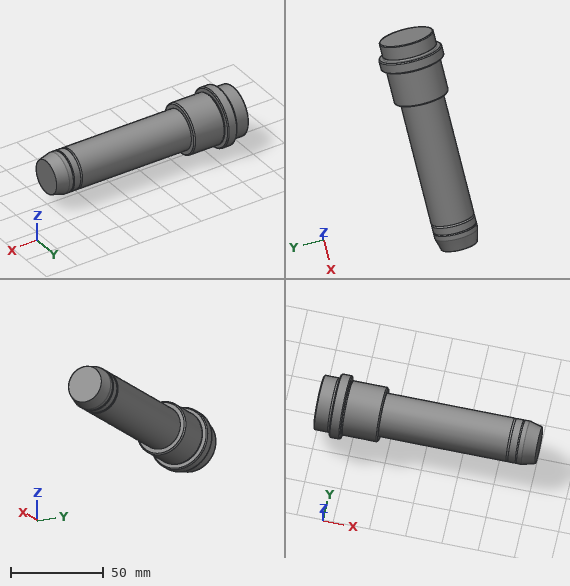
import cadquery as cq
import math

total_length = 121.0

head_radius = 30.0 / 2
head_chamfer = 0.5
shoulder_end = 35.2
shoulder_chamfer = 0.7

collar_radius = 35.0 / 2
collar_start = 9.0
collar_width = 6.0
collar_end = collar_start + collar_width
collar_chamfer = 0.6

relief_depth = 0.6
relief_radius = head_radius - relief_depth
front_relief_width = 1.2
front_relief_start = collar_start - front_relief_width
rear_relief_width = 0.7
rear_relief_end = collar_end + rear_relief_width

shaft_radius = 24.0 / 2
ring_groove_depth = 0.42
ring_grooves = [(105.5, 1.1), (110.6, 0.7)]

taper_length = 7.0
taper_angle = 15.0
tip_radius = shaft_radius - taper_length * math.tan(math.radians(taper_angle))


def make_body():
    """Revolve the half profile of the pin, without its rounded grooves, about X."""
    profile = [
        (0, 0),
        (0, head_radius - head_chamfer),
        (head_chamfer, head_radius),
        (collar_start, head_radius),
        (collar_start, collar_radius - collar_chamfer),
        (collar_start + collar_chamfer, collar_radius),
        (collar_end - collar_chamfer, collar_radius),
        (collar_end, collar_radius - collar_chamfer),
        (collar_end, relief_radius),
        (rear_relief_end, relief_radius),
        (rear_relief_end, head_radius),
        (shoulder_end - shoulder_chamfer, head_radius),
        (shoulder_end, head_radius - shoulder_chamfer),
        (shoulder_end, shaft_radius),
        (total_length - taper_length, shaft_radius),
        (total_length, tip_radius),
        (total_length, 0),
    ]
    half_section = cq.Workplane("XY").polyline(profile).close()
    return half_section.revolve(360, (0, 0, 0), (1, 0, 0))


def rounded_groove(start, width, surface_radius, depth):
    """Ring with an arc-shaped floor that cuts a groove into a cylinder."""
    section = (
        cq.Workplane("XY")
        .moveTo(start, surface_radius)
        .threePointArc((start + width / 2, surface_radius - depth), (start + width, surface_radius))
        .close()
    )
    return section.revolve(360, (0, 0, 0), (1, 0, 0))


pin = make_body()
pin = pin.cut(rounded_groove(front_relief_start, front_relief_width, head_radius, relief_depth))
for groove_start, groove_width in ring_grooves:
    pin = pin.cut(rounded_groove(groove_start, groove_width, shaft_radius, ring_groove_depth))

result = pin.translate((-total_length / 2, 0, 0))